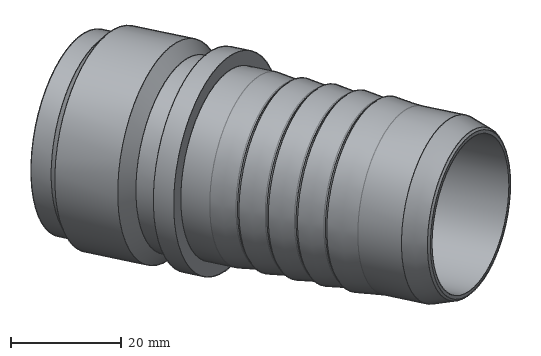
import cadquery as cq

length = 80.0

spigot_diameter = 38.5
spigot_end = 4.2
body_diameter = 42.0
body_start = 5.8
body_end = 18.7
neck_diameter = 37.0
neck_start = 21.1

flange_diameter = 41.9
flange_start = 26.0
flange_end = 30.2

tail_diameter = 36.3
root_diameter = 35.0
barb_start = 36.1
barb_pitch = 6.0
barb_count = 5
root_land = 0.3
barb_rise = (tail_diameter - root_diameter) / 2

taper_start = 75.0
tip_diameter = 32.2
tip_edge = 0.4

bore_diameter = 30.0
mouth_diameter = 35.0
mouth_depth = 9.5


def barb_points():
    """Profile of the barbs: a slow fall to the root, then a 45 degree rise to the next crest."""
    points = []
    for index in range(barb_count):
        crest = barb_start + index * barb_pitch
        next_crest = crest + barb_pitch
        points.append((crest, tail_diameter / 2))
        if index < barb_count - 1:
            rise_start = next_crest - barb_rise
            points.append((rise_start - root_land, root_diameter / 2))
            points.append((rise_start, root_diameter / 2))
        else:
            points.append((next_crest, root_diameter / 2))
    return points


def revolve_about_x(points):
    return cq.Workplane("XY").polyline(points).close().revolve(360, (0, 0, 0), (1, 0, 0))


outer_points = [
    (0, 0),
    (0, spigot_diameter / 2),
    (spigot_end, spigot_diameter / 2),
    (body_start, body_diameter / 2),
    (body_end, body_diameter / 2),
    (neck_start, neck_diameter / 2),
    (flange_start, neck_diameter / 2),
    (flange_start, flange_diameter / 2),
    (flange_end, flange_diameter / 2),
    (flange_end, tail_diameter / 2),
    *barb_points(),
    (taper_start, root_diameter / 2),
    (length - tip_edge, tip_diameter / 2),
    (length, tip_diameter / 2 - tip_edge),
    (length, 0),
]

bore_points = [
    (0, 0),
    (0, mouth_diameter / 2),
    (mouth_depth, bore_diameter / 2),
    (length, bore_diameter / 2),
    (length, 0),
]

result = revolve_about_x(outer_points).cut(revolve_about_x(bore_points))